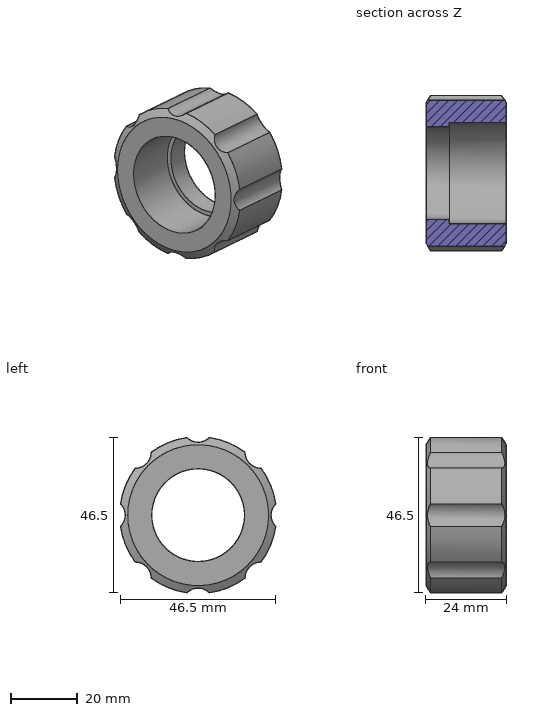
import cadquery as cq
import math

width = 24.0
span = 46.5
bore_diameter = 27.7
counterbore_diameter = 30.3
counterbore_depth = 17.03

face_diameter = 42.15
bevel_width = 1.35

flute_count = 8
flute_chord = 6.7
flute_depth = 1.4

outer_radius = math.hypot(span / 2, flute_chord / 2)
flute_radius = ((flute_chord / 2) ** 2 + flute_depth**2) / (2 * flute_depth)
flute_center_radius = span / 2 - flute_depth + flute_radius


def make_beveled_disc():
    """Solid of revolution about X with a conical bevel at each end."""
    face_radius = face_diameter / 2
    return (
        cq.Workplane("XY")
        .moveTo(0, 0)
        .lineTo(0, face_radius)
        .lineTo(bevel_width, outer_radius)
        .lineTo(width - bevel_width, outer_radius)
        .lineTo(width, face_radius)
        .lineTo(width, 0)
        .close()
        .revolve(360, (0, 0, 0), (1, 0, 0))
    )


def make_flutes():
    """Parallel cylinders that cut the finger flutes, the first on the Y axis."""
    return (
        cq.Workplane("YZ")
        .polarArray(flute_center_radius, 0, 360, flute_count)
        .circle(flute_radius)
        .extrude(width)
    )


def make_stepped_bore():
    """Through bore, widened from the +X face."""
    bore = cq.Workplane("YZ").circle(bore_diameter / 2).extrude(width)
    counterbore = (
        cq.Workplane("YZ", origin=(width - counterbore_depth, 0, 0))
        .circle(counterbore_diameter / 2)
        .extrude(counterbore_depth)
    )
    return bore.union(counterbore)


ring = make_beveled_disc().cut(make_flutes()).cut(make_stepped_bore())
result = ring.translate((-width / 2, 0, 0))